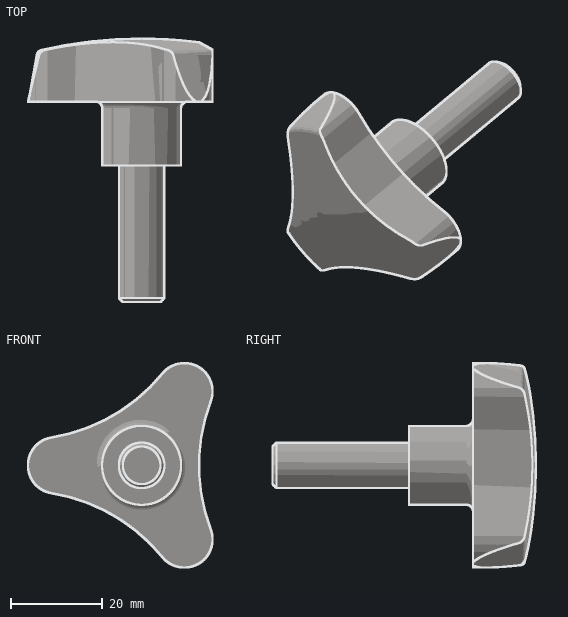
import cadquery as cq
import math

total_length = 57.95
stud_length = 30.0
hub_length = 14.0
knob_height = total_length - stud_length - hub_length

lobe_count = 3
lobe_pitch = 360.0 / lobe_count
lobe_diameter = 12.45
lobe_radius = lobe_diameter / 2
lobe_offset = 18.8
waist_distance = 12.65
tip_radius = lobe_offset + lobe_radius

side_taper = 10.7
dome_radius = 97.35
rim_fillet = 1.45

hub_diameter = 17.4
hub_fillet = 1.4
stud_diameter = 10.0
stud_chamfer = 0.85


def polar(radius, degrees):
    angle = math.radians(degrees)
    return radius * math.cos(angle), radius * math.sin(angle)


def knob_prism():
    """Extrude the lobed outline: round lobes joined by tangent hollow arcs."""
    half_pitch = lobe_pitch / 2
    lobe_x, lobe_z = polar(lobe_offset, half_pitch)
    radius_step = waist_distance - lobe_radius
    hollow_offset = (lobe_offset**2 - radius_step**2) / (2 * (lobe_x - radius_step))
    center_gap = hollow_offset - radius_step
    tangent_x = lobe_x + (hollow_offset - lobe_x) * lobe_radius / center_gap
    tangent_z = lobe_z - lobe_z * lobe_radius / center_gap
    tangent_distance = math.hypot(tangent_x, tangent_z)
    tangent_angle = math.degrees(math.atan2(tangent_z, tangent_x))

    outline = cq.Workplane("XZ").moveTo(*polar(tangent_distance, -tangent_angle))
    for index in range(lobe_count):
        side_angle = index * lobe_pitch
        lobe_angle = side_angle + half_pitch
        next_side_angle = side_angle + lobe_pitch
        outline = outline.threePointArc(
            polar(waist_distance, side_angle),
            polar(tangent_distance, side_angle + tangent_angle),
        )
        outline = outline.threePointArc(
            polar(tip_radius, lobe_angle),
            polar(tangent_distance, next_side_angle - tangent_angle),
        )
    return outline.close().extrude(-knob_height)


def crown_envelope():
    """Revolve the domed, tapered body that trims the lobed prism."""
    slope = math.tan(math.radians(side_taper))
    dome_center_y = knob_height - dome_radius
    a = 1 + slope**2
    b = -(tip_radius * slope + dome_center_y)
    c = tip_radius**2 + dome_center_y**2 - dome_radius**2
    rim_y = (-b + math.sqrt(b**2 - a * c)) / a
    rim_radius = tip_radius - rim_y * slope

    mid_radius = rim_radius / 2
    mid_y = dome_center_y + math.sqrt(dome_radius**2 - mid_radius**2)
    body = (
        cq.Workplane("XY")
        .lineTo(tip_radius, 0)
        .lineTo(rim_radius, rim_y)
        .threePointArc((mid_radius, mid_y), (0, knob_height))
        .close()
        .revolve(360, (0, 0, 0), (0, 1, 0))
    )
    rim_selector = cq.selectors.BoxSelector(
        (-tip_radius, rim_y / 2, -tip_radius),
        (tip_radius, knob_height, tip_radius),
        boundingbox=True,
    )
    return body.edges("%CIRCLE").edges(rim_selector).fillet(rim_fillet)


def hub_and_stud():
    """Revolve the hub, its root fillet and the chamfered stud."""
    hub_radius = hub_diameter / 2
    stud_radius = stud_diameter / 2
    stud_end = -(hub_length + stud_length)
    fillet_sag = hub_fillet * (1 - math.sqrt(0.5))
    return (
        cq.Workplane("XY")
        .lineTo(hub_radius + hub_fillet, 0)
        .threePointArc((hub_radius + fillet_sag, -fillet_sag), (hub_radius, -hub_fillet))
        .lineTo(hub_radius, -hub_length)
        .lineTo(stud_radius, -hub_length)
        .lineTo(stud_radius, stud_end + stud_chamfer)
        .lineTo(stud_radius - stud_chamfer, stud_end)
        .lineTo(0, stud_end)
        .close()
        .revolve(360, (0, 0, 0), (0, 1, 0))
    )


knob = knob_prism().intersect(crown_envelope())
result = knob.union(hub_and_stud())